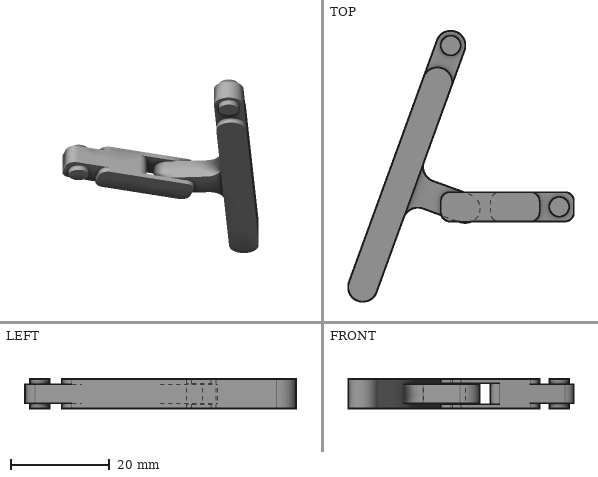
import cadquery as cq
import math

width = 6.0
end_radius = width / 2
tenon_thickness = 3.9
slot_thickness = 4.2
pin_diameter = 4.0

bar_angle = 70.0
overall_y = 54.9
bar_span = (overall_y - width) / math.sin(math.radians(bar_angle))
bar_plate_span = 44.15
stem_length = 14.0
stem_fillet = 3.0

link_right = 42.75
link_y = 16.25
link_length = 26.95
link_plate_length = 20.0
link_core_length = 16.95
link_corner_radius = 1.85


def centred_prism(outline, thickness):
    """Extrude an outline equally above and below the middle plane."""
    return outline.extrude(thickness / 2, both=True)


def rounded_bar(span, thickness):
    """Full-round bar along X, its first end-round centre at the origin."""
    outline = cq.Workplane("XY").center(span / 2, 0).slot2D(span + width, width)
    return centred_prism(outline, thickness)


def link_block(left, length, thickness):
    """Rectangular block with rounded vertical corners on the link centreline."""
    outline = cq.Workplane("XY").center(left + length / 2, link_y).rect(length, width)
    return centred_prism(outline, thickness).edges("|Z").fillet(link_corner_radius)


def pin(x, y):
    """Round pin through the full thickness of a tenon."""
    return centred_prism(cq.Workplane("XY").center(x, y).circle(pin_diameter / 2), width)


def make_stem():
    """Stem with root fillets and a full-round knuckle, on a bar lying along X."""
    middle = bar_plate_span / 2
    root_half_width = end_radius + stem_fillet
    root_end = -end_radius - stem_fillet
    arc_offset = stem_fillet * math.sqrt(0.5)
    outline = (
        cq.Workplane("XY")
        .moveTo(middle - root_half_width, 0)
        .lineTo(middle - root_half_width, -end_radius)
        .threePointArc(
            (middle - root_half_width + arc_offset, root_end + arc_offset),
            (middle - end_radius, root_end),
        )
        .lineTo(middle - end_radius, -stem_length)
        .threePointArc((middle, -stem_length - end_radius), (middle + end_radius, -stem_length))
        .lineTo(middle + end_radius, root_end)
        .threePointArc(
            (middle + root_half_width - arc_offset, root_end + arc_offset),
            (middle + root_half_width, -end_radius),
        )
        .lineTo(middle + root_half_width, 0)
        .close()
    )
    return centred_prism(outline, tenon_thickness)


def make_tee():
    """Bar, tenon, pin and stem, turned to the bar angle about the lower end."""
    plate = rounded_bar(bar_plate_span, width)
    tenon = rounded_bar(bar_span, tenon_thickness)
    tee = plate.union(tenon).union(pin(bar_span, 0)).union(make_stem())
    return tee.rotate((0, 0, 0), (0, 0, 1), bar_angle)


def make_link():
    """Two cheek plates joined by a core; the core runs out into the tenon."""
    left = link_right - link_length
    core_left = link_right - link_core_length
    cheeks = link_block(left, link_plate_length, width)
    slot = cq.Workplane("XY").center(left + link_plate_length / 2, link_y)
    slot = centred_prism(slot.rect(link_plate_length, width), slot_thickness)
    slot_core = link_block(core_left, link_core_length, slot_thickness).intersect(cheeks)
    tenon = link_block(core_left, link_core_length, tenon_thickness)
    return (
        cheeks.cut(slot)
        .union(slot_core)
        .union(tenon)
        .union(pin(link_right - end_radius, link_y))
    )


tee = make_tee()
link = make_link()
result = cq.Compound.makeCompound([tee.val(), link.val()])